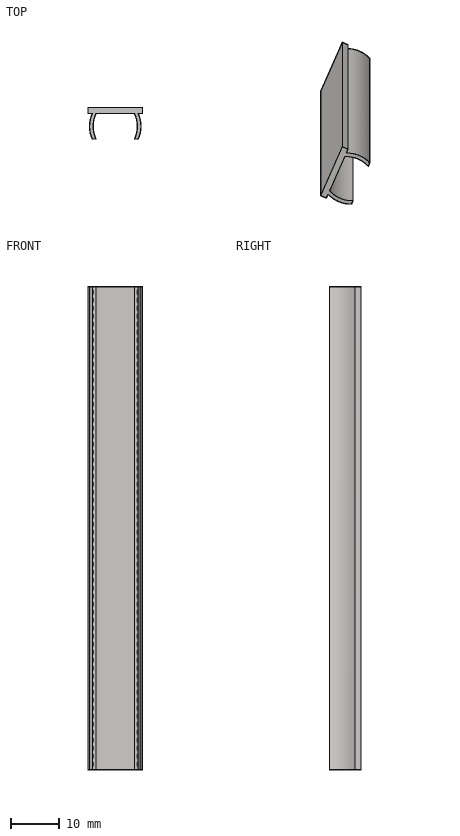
import cadquery as cq

length = 100.0
width = 11.3
depth = 6.6
plate_thickness = 1.3

arm_thickness = 0.8
arm_inset = 0.3
root_inset = 0.9
tip_inset = 0.9

half_width = width / 2
back_y = depth / 2
tip_y = -depth / 2
plate_front_y = back_y - plate_thickness
arm_middle_y = (plate_front_y + tip_y) / 2
root_overlap = plate_thickness / 2


def build_plate():
    return (
        cq.Workplane("XY")
        .center(0, back_y - plate_thickness / 2)
        .rect(width, plate_thickness)
        .extrude(length)
    )


def build_arm():
    """Outward-bowed arm on the +X side, with its root sunk into the plate."""
    outer_root_x = half_width - root_inset
    outer_middle_x = half_width - arm_inset
    outer_tip_x = half_width - tip_inset
    root_y = plate_front_y + root_overlap
    return (
        cq.Workplane("XY")
        .moveTo(outer_root_x, root_y)
        .lineTo(outer_root_x, plate_front_y)
        .threePointArc((outer_middle_x, arm_middle_y), (outer_tip_x, tip_y))
        .lineTo(outer_tip_x - arm_thickness, tip_y)
        .threePointArc(
            (outer_middle_x - arm_thickness, arm_middle_y),
            (outer_root_x - arm_thickness, plate_front_y),
        )
        .lineTo(outer_root_x - arm_thickness, root_y)
        .close()
        .extrude(length)
    )


arm = build_arm()
result = build_plate().union(arm).union(arm.mirror("YZ"))